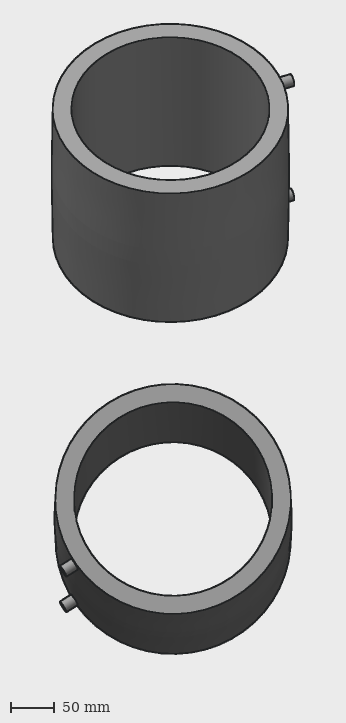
import cadquery as cq

height = 212.0
middle_radius = 135.8
end_radius = 134.7
bore_radius = 113.2
band_height = 25.2

overall_depth = 286.0
pin_diameter = 14.5
pin_end_offset = 12.0
pin_tip_y = overall_depth - middle_radius
pin_root_y = (bore_radius + end_radius) / 2

half_height = height / 2
half_band = band_height / 2


def make_sleeve():
    """Revolve the wall section, tapering slightly from the band to each end, about the Z axis."""
    return (
        cq.Workplane("XZ")
        .moveTo(bore_radius, -half_height)
        .lineTo(end_radius, -half_height)
        .lineTo(middle_radius, -half_band)
        .lineTo(middle_radius, half_band)
        .lineTo(end_radius, half_height)
        .lineTo(bore_radius, half_height)
        .close()
        .revolve(360, (0, 0, 0), (0, 1, 0))
    )


def make_pin(z):
    """Round pin along +Y, rooted in the wall at height z."""
    return (
        cq.Workplane("XZ", origin=(0, pin_root_y, z))
        .circle(pin_diameter / 2)
        .extrude(pin_root_y - pin_tip_y)
    )


result = make_sleeve()
for side in (-1, 1):
    result = result.union(make_pin(side * (half_height - pin_end_offset)))